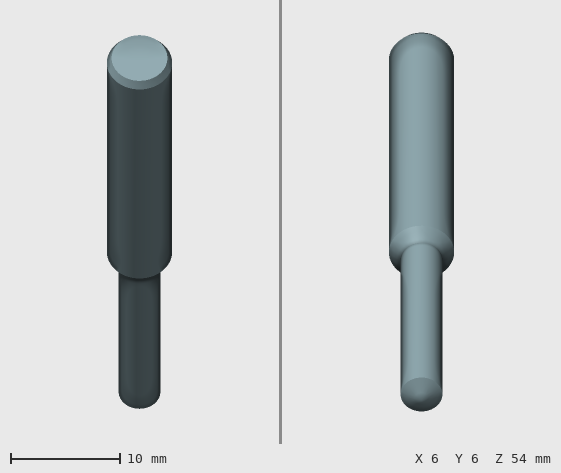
import cadquery as cq
import math

overall_length = 54.0
shank_diameter = 6.0
drill_diameter = 3.85
point_angle = 130.0
drill_length = 22.0
shoulder_height = 1.2
chamfer_height = 0.75
chamfer_angle = 30.0

shank_radius = shank_diameter / 2
drill_radius = drill_diameter / 2
point_height = drill_radius / math.tan(math.radians(point_angle / 2))
shoulder_top = drill_length + shoulder_height
chamfer_bottom = overall_length - chamfer_height
end_radius = shank_radius - chamfer_height * math.tan(math.radians(chamfer_angle))


def revolve_profile(points):
    """Revolve a closed (radius, height) outline around the Z axis."""
    return cq.Workplane("XZ").polyline(points).close().revolve(360, (0, 0), (0, 1))


def make_drill():
    """Cylindrical drill with a conical point."""
    return revolve_profile([
        (0, 0),
        (drill_radius, point_height),
        (drill_radius, drill_length),
        (0, drill_length),
    ])


def make_shank():
    """Clamping shank with a conical shoulder below and a chamfered end above."""
    return revolve_profile([
        (0, drill_length),
        (drill_radius, drill_length),
        (shank_radius, shoulder_top),
        (shank_radius, chamfer_bottom),
        (end_radius, overall_length),
        (0, overall_length),
    ])


drill = make_drill()
shank = make_shank()
result = cq.Compound.makeCompound([drill.val(), shank.val()])